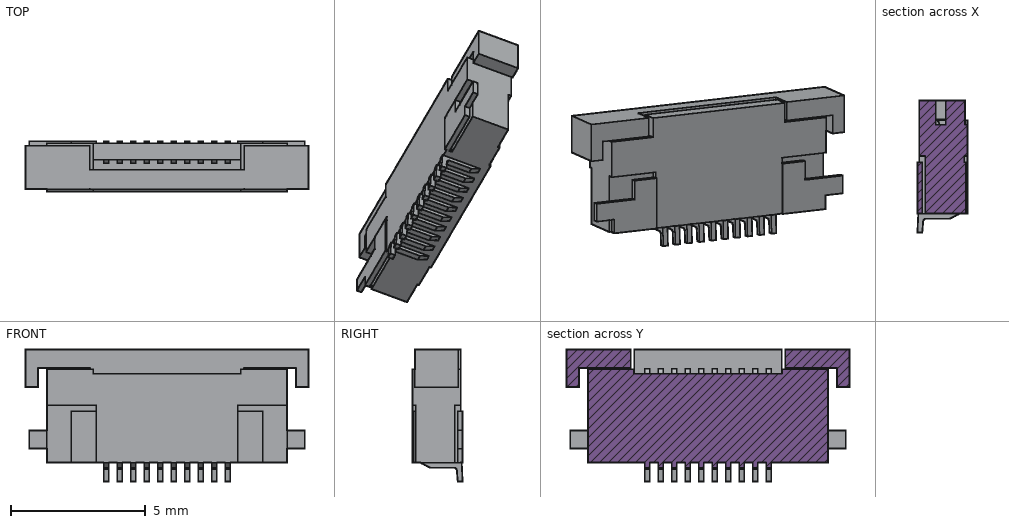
import cadquery as cq


BODY_LENGTH = 8.9
BODY_DEPTH = 1.8
BODY_HEIGHT = 3.47
TROUGH_LENGTH = 5.48
TROUGH_FLOOR = 3.3
TOP_LEVEL = 4.2
TONGUE_DEPTH = 0.62
TONGUE_FRONT = BODY_DEPTH - TONGUE_DEPTH

RECESS_INNER_X = 2.62
RECESS_HEIGHT = 2.13
FRONT_RECESS_DEPTH = 0.125
BACK_RECESS_DEPTH = 0.22

SLIDER_LENGTH = 10.5
SLIDER_FRONT = 0.095
SLIDER_BACK = 1.705
SLIDER_WEB_BOTTOM = 3.5
ARM_WIDTH = 0.48
ARM_BOTTOM = 2.8
NOTCH_LENGTH = 5.72
SLIDER_BAR_BACK = 0.82

CLIP_HEIGHT = 1.915
CLIP_OUTER_X = 3.54
FRONT_CLIP_SETBACK = 0.06
BACK_CLIP_FOOT_X = 4.39
BACK_CLIP_THICKNESS = 0.19
BACK_CLIP_FACE = 1.87
TAB_TIP_X = 5.11
TAB_BOTTOM = 0.525
TAB_TOP = 1.2

CONTACT_COUNT = 10
CONTACT_PITCH = 0.5
CONTACT_WIDTH = 0.2
FOOT_BOTTOM = -0.7
ARM_UNDERSIDE = -0.19
ARM_FRONT_TOP = 0.3
ARM_FRONT_BOTTOM = 0.66
BEND_CHAMFER = 0.06
LEG_FRONT = 1.645
LEG_BACK = 1.835
FOOT_LEAN = BACK_CLIP_FACE - LEG_BACK
TIP_RADIUS = 0.2
TIP_REACH = 0.125


def block(x_range, y_range, z_range):
    """Box spanning the given (low, high) ranges."""
    spans = (x_range, y_range, z_range)
    sizes = [high - low for low, high in spans]
    corner = tuple(low for low, high in spans)
    return cq.Workplane("XY").box(*sizes, centered=False).translate(corner)


def centred(length):
    """X range of the given length about the middle of the part."""
    return (-length / 2, length / 2)


def both_ends(shape):
    """The shape together with its mirror image at the other end of the part."""
    return shape.union(shape.mirror("YZ"))


def make_housing():
    full_depth = (0, BODY_DEPTH)
    recess_x = (RECESS_INNER_X, BODY_LENGTH / 2)
    recess_z = (0, RECESS_HEIGHT)
    housing = block(centred(BODY_LENGTH), full_depth, (0, BODY_HEIGHT))
    trough = block(centred(TROUGH_LENGTH), full_depth, (TROUGH_FLOOR, BODY_HEIGHT))
    tongue = block(centred(TROUGH_LENGTH), (TONGUE_FRONT, BODY_DEPTH), (TROUGH_FLOOR, TOP_LEVEL))
    front_recess = block(recess_x, (0, FRONT_RECESS_DEPTH), recess_z)
    back_recess = block(recess_x, (BODY_DEPTH - BACK_RECESS_DEPTH, BODY_DEPTH), recess_z)
    housing = housing.cut(trough).union(tongue)
    return housing.cut(both_ends(front_recess)).cut(both_ends(back_recess))


def make_slider():
    slider_y = (SLIDER_FRONT, SLIDER_BACK)
    half_length = SLIDER_LENGTH / 2
    web = block(centred(SLIDER_LENGTH), slider_y, (SLIDER_WEB_BOTTOM, TOP_LEVEL))
    arm = block((half_length - ARM_WIDTH, half_length), slider_y, (ARM_BOTTOM, TOP_LEVEL))
    notch = block(centred(NOTCH_LENGTH), (SLIDER_BAR_BACK, SLIDER_BACK), (SLIDER_WEB_BOTTOM, TOP_LEVEL))
    bar = block(centred(NOTCH_LENGTH), (SLIDER_FRONT, SLIDER_BAR_BACK), (TROUGH_FLOOR, TOP_LEVEL))
    return web.cut(notch).union(bar).union(both_ends(arm))


def make_clips():
    clip_z = (0, CLIP_HEIGHT)
    back_y = (BACK_CLIP_FACE - BACK_CLIP_THICKNESS, BACK_CLIP_FACE)
    front_y = (FRONT_CLIP_SETBACK, FRONT_RECESS_DEPTH)
    front_plate = block((RECESS_INNER_X, CLIP_OUTER_X), front_y, clip_z)
    back_plate = block((RECESS_INNER_X, CLIP_OUTER_X), back_y, clip_z)
    foot = block((CLIP_OUTER_X, BACK_CLIP_FOOT_X), back_y, (0, TAB_TOP))
    tab = block((BACK_CLIP_FOOT_X, TAB_TIP_X), back_y, (TAB_BOTTOM, TAB_TOP))
    back_clip = back_plate.union(foot).union(tab)
    return both_ends(front_plate).union(both_ends(back_clip))


def make_contact(x):
    """Solder leg below the housing and rounded tip in front of the tongue."""
    plane = cq.Workplane("YZ", origin=(x - CONTACT_WIDTH / 2, 0, 0))
    leg = (
        plane.moveTo(ARM_FRONT_TOP, 0)
        .lineTo(ARM_FRONT_BOTTOM, ARM_UNDERSIDE)
        .lineTo(LEG_FRONT - BEND_CHAMFER, ARM_UNDERSIDE)
        .lineTo(LEG_FRONT, ARM_UNDERSIDE - BEND_CHAMFER)
        .lineTo(LEG_FRONT + FOOT_LEAN, FOOT_BOTTOM)
        .lineTo(LEG_BACK + FOOT_LEAN, FOOT_BOTTOM)
        .lineTo(LEG_BACK, 0)
        .close()
        .extrude(CONTACT_WIDTH)
    )
    tip_axis_y = TONGUE_FRONT - TIP_REACH + TIP_RADIUS
    tip = (
        plane.moveTo(tip_axis_y - TIP_RADIUS, TROUGH_FLOOR)
        .threePointArc(
            (tip_axis_y, TROUGH_FLOOR + TIP_RADIUS), (tip_axis_y + TIP_RADIUS, TROUGH_FLOOR)
        )
        .close()
        .extrude(CONTACT_WIDTH)
    )
    return leg, tip


result = make_housing().union(make_slider()).union(make_clips())
for index in range(CONTACT_COUNT):
    contact_x = (index - (CONTACT_COUNT - 1) / 2) * CONTACT_PITCH
    for piece in make_contact(contact_x):
        result = result.union(piece)